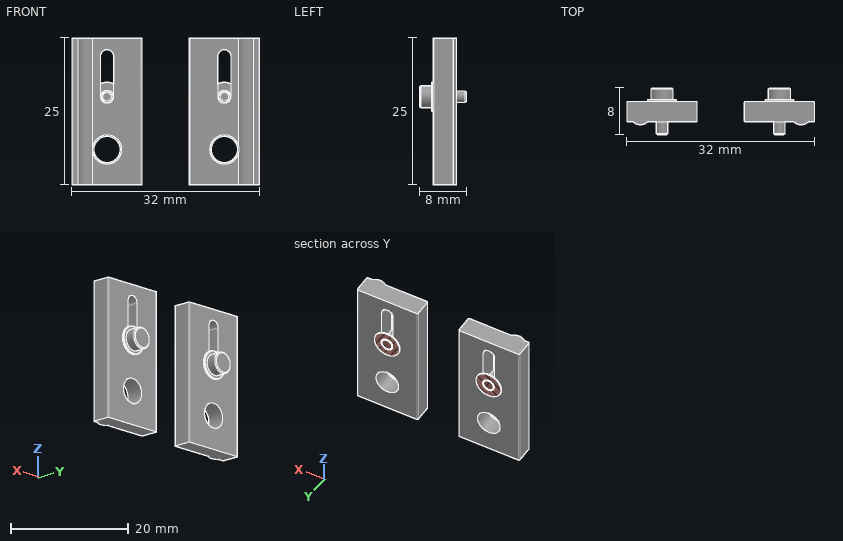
import cadquery as cq


overall_width = 32.0
plate_width = 12.0
plate_thickness = 3.5
plate_height = 25.0
plate_edge_radius = 0.2
plate_offset = (overall_width - plate_width) / 2

ridge_width = 2.5
ridge_height = 0.5
ridge_outer_margin = 1.05
ridge_centre = plate_width / 2 - ridge_outer_margin - ridge_width / 2

hole_diameter = 4.45
hole_rim_diameter = 5.0
hole_centre_height = 6.0
hole_rim_depth = (hole_rim_diameter - hole_diameter) / 2

shank_diameter = 2.0
shank_length = 6.0
tip_chamfer = 0.25
head_diameter = 3.8
head_height = 2.0
head_chamfer = 0.2
screw_height = 15.0

washer_diameter = 5.0
washer_bore = 2.2
washer_thickness = 0.3
washer_chamfer = 0.1
head_seat = plate_thickness + washer_thickness

slot_width = 2.2
slot_top_margin = 2.0
slot_bottom = screw_height - slot_width / 2
slot_length = plate_height - slot_top_margin - slot_bottom


def cylinder_along_y(diameter, length, x, y_start, z):
    """Cylinder running from y_start towards +Y."""
    return (
        cq.Workplane("XZ", origin=(x, y_start, z))
        .circle(diameter / 2)
        .extrude(-length)
    )


def make_ridge(ridge_x):
    """Circular-segment bar on the plate front."""
    return (
        cq.Workplane("XY")
        .moveTo(ridge_x - ridge_width / 2, 0)
        .threePointArc((ridge_x, -ridge_height), (ridge_x + ridge_width / 2, 0))
        .close()
        .extrude(plate_height)
    )


def make_hole_cutter(x):
    """Through hole, the cone that chamfers its front rim, and a clearance through the ridge foot."""
    bore = cylinder_along_y(hole_diameter, plate_thickness, x, 0, hole_centre_height)
    rim_cone = cq.Workplane(
        cq.Solid.makeCone(
            hole_rim_diameter / 2,
            hole_diameter / 2,
            hole_rim_depth,
            pnt=cq.Vector(x, 0, hole_centre_height),
            dir=cq.Vector(0, 1, 0),
        )
    )
    ridge_clearance = cylinder_along_y(
        hole_rim_diameter, ridge_height, x, -ridge_height, hole_centre_height
    )
    return bore.union(rim_cone).union(ridge_clearance)


def make_slot_cutter(x):
    """Round-ended vertical slot through the plate."""
    return (
        cq.Workplane("XZ", origin=(x, 0, slot_bottom + slot_length / 2))
        .slot2D(slot_length, slot_width, 90)
        .extrude(-plate_thickness)
    )


def make_plate(side):
    """Plate on the given side (-1 or +1), with its ridge towards the outside."""
    x = side * plate_offset
    return (
        cq.Workplane("XY", origin=(x, plate_thickness / 2, 0))
        .rect(plate_width, plate_thickness)
        .extrude(plate_height)
        .edges("|Z")
        .fillet(plate_edge_radius)
        .union(make_ridge(side * (plate_offset + ridge_centre)))
        .cut(make_hole_cutter(x))
        .cut(make_slot_cutter(x))
    )


def make_washer(side):
    """Flat washer with its outer back edge chamfered."""
    x = side * plate_offset
    disc = cylinder_along_y(washer_diameter, washer_thickness, x, plate_thickness, screw_height)
    bore = cylinder_along_y(washer_bore, washer_thickness, x, plate_thickness, screw_height)
    return disc.faces(">Y").edges().chamfer(washer_chamfer).cut(bore)


def make_screw(side):
    """Cylinder-head screw pointing towards -Y."""
    x = side * plate_offset
    head = cylinder_along_y(head_diameter, head_height, x, head_seat, screw_height)
    shank = cylinder_along_y(shank_diameter, shank_length, x, head_seat - shank_length, screw_height)
    chamfered_head = head.faces(">Y").edges().chamfer(head_chamfer)
    chamfered_shank = shank.faces("<Y").edges().chamfer(tip_chamfer)
    return chamfered_head.union(chamfered_shank)


bodies = []
for side in (-1, 1):
    plate = make_plate(side)
    washer = make_washer(side)
    screw = make_screw(side)
    bodies += [body.solids().val() for body in (plate, washer, screw)]

result = cq.Compound.makeCompound(bodies)